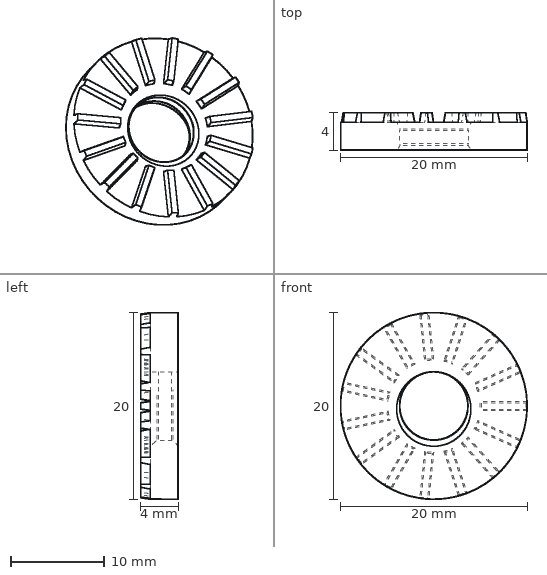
import cadquery as cq

outer_radius = 10.0
total_thickness = 4.0
tooth_height = 1.0
body_thickness = total_thickness - tooth_height
front_y = -total_thickness / 2
tooth_base_y = front_y + body_thickness
tooth_tip_y = total_thickness / 2

bore_radius = 3.65
flare_radius = 3.98
flare_drop = flare_radius - bore_radius
front_flare_depth = 0.55
rear_flare_depth = 0.7

groove_depth = 0.05
land_width = 0.18
groove_start_y = front_y + front_flare_depth + land_width
groove_width = body_thickness - front_flare_depth - rear_flare_depth - 2 * land_width

tooth_count = 15
tooth_base_width = 0.98
tooth_inner_radius = 4.95
tooth_draft = 0.15
tooth_tip_width = tooth_base_width - 2 * tooth_draft


def y_cylinder(radius, start_y, length):
    """Solid cylinder on the part axis, growing toward +Y."""
    return cq.Workplane("XZ", origin=(0, start_y, 0)).circle(radius).extrude(-length)


def make_flare(face_y, reach_y):
    """Oblique cone from a lowered circle on a body face to the bore; reach_y is its signed depth."""
    return (
        cq.Workplane("XZ", origin=(0, face_y, 0))
        .center(0, -flare_drop)
        .circle(flare_radius)
        .workplane(offset=-reach_y)
        .center(0, flare_drop)
        .circle(bore_radius)
        .loft(combine=True)
    )


def make_tooth_ring():
    """Ring whose inner and outer walls lean inward toward the tooth tips."""
    profile = [
        (tooth_inner_radius, tooth_base_y),
        (outer_radius, tooth_base_y),
        (outer_radius - tooth_draft, tooth_tip_y),
        (tooth_inner_radius + tooth_draft, tooth_tip_y),
    ]
    return cq.Workplane("XY").polyline(profile).close().revolve(360, (0, 0, 0), (0, 1, 0))


def make_tooth_bar():
    """Radial bar of trapezoidal section, starting at the axis and pointing along +X."""
    section = [
        (tooth_base_y, -tooth_base_width / 2),
        (tooth_base_y, tooth_base_width / 2),
        (tooth_tip_y, tooth_tip_width / 2),
        (tooth_tip_y, -tooth_tip_width / 2),
    ]
    return cq.Workplane("YZ").polyline(section).close().extrude(outer_radius)


result = y_cylinder(outer_radius, front_y, body_thickness)
result = result.cut(y_cylinder(bore_radius, front_y, body_thickness))
result = result.cut(make_flare(front_y, front_flare_depth))
result = result.cut(make_flare(tooth_base_y, -rear_flare_depth))
result = result.cut(y_cylinder(bore_radius + groove_depth, groove_start_y, groove_width))

tooth = make_tooth_ring().intersect(make_tooth_bar())
for index in range(tooth_count):
    angle = index * 360 / tooth_count
    result = result.union(tooth.rotate((0, 0, 0), (0, 1, 0), angle))